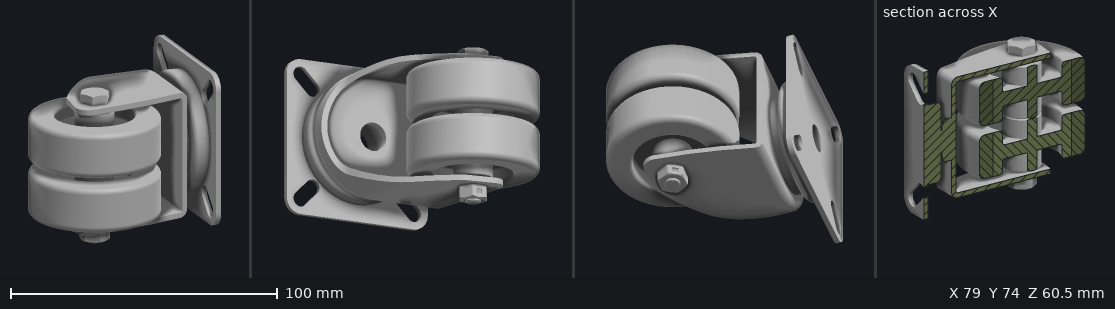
import cadquery as cq
import math


plate_side = 60.0
plate_thickness = 2.05
plate_corner_radius = 6.0
slot_width = 6.0
slot_inner_offset = 19.0
slot_outer_offset = 24.1

upper_step_diameter = 47.0
upper_step_bottom = 8.0
lower_step_diameter = 38.0
step_round = 2.0
swivel_bore_diameter = 11.0

fork_top = 12.5
fork_width = 49.2
sheet_thickness = 2.1
fork_bend_outer_radius = 3.0
fork_bend_inner_radius = fork_bend_outer_radius - sheet_thickness

fork_front_top = (26.6, -fork_top)
fork_front_arc = (31.6, -35.8)
fork_axle_corner = (34.05, -59.25)
fork_lower_corner = (16.5, -57.3)
fork_rear_arc = (-0.5, -44.9)
fork_nose_inner = (-16.9, -22.0)
fork_nose_tip = (-fork_width / 2, -19.4)
fork_corner_radius = 5.0
fork_nose_radius = 7.9

axle_x = 24.0
axle_y = -49.0
wheel_diameter = 50.0
tyre_inner_diameter = 38.15
wheel_width = 17.9
tread_round = 2.5
hub_length = 21.5
hub_diameter = 15.0
hub_chamfer = 0.4
recess_diameter = 30.3
recess_depth = 6.1
recess_rim_round = 1.3
recess_floor_round = 0.95

bolt_diameter = 6.0
bolt_chamfer = 0.4
bolt_overhang = 0.95
across_flats = 10.1
hexagon_half_angle = 30
across_corners = across_flats / math.cos(math.radians(hexagon_half_angle))
head_height = 3.8
nut_height = 5.0
hex_chamfer_diameter = 9.9
hex_chamfer_angle = 30
dent_width = 2.4
dent_height = 1.65
dent_depth = 0.5
dent_count = 3

fork_half_width = fork_width / 2
nut_end_z = -fork_half_width - nut_height
fork_depth = -fork_axle_corner[1] - fork_top


def below_plate(depth):
    """Workplane across the swivel axis at a depth, extruding downwards (-Y)."""
    return cq.Workplane("XZ", origin=(0, -depth, 0))


def on_axle(z):
    """Workplane across the axle at a height z, extruding upwards (+Z)."""
    return cq.Workplane("XY", origin=(axle_x, axle_y, z))


def make_plate():
    plate = below_plate(0).rect(plate_side, plate_side).extrude(plate_thickness)
    plate = plate.edges("|Y").fillet(plate_corner_radius)
    slot_middle = (slot_inner_offset + slot_outer_offset) / 2
    slot_length = math.sqrt(2) * (slot_outer_offset - slot_inner_offset) + slot_width
    for side_x in (-1, 1):
        for side_z in (-1, 1):
            slot = (
                below_plate(0)
                .center(side_x * slot_middle, side_z * slot_middle)
                .slot2D(slot_length, slot_width, 45 * side_x * side_z)
                .extrude(plate_thickness)
            )
            plate = plate.cut(slot)
    return plate


def make_swivel_head():
    upper_step = (
        below_plate(plate_thickness)
        .circle(upper_step_diameter / 2)
        .extrude(upper_step_bottom - plate_thickness)
        .faces("<Y").edges().fillet(step_round)
    )
    lower_step = (
        below_plate(upper_step_bottom)
        .circle(lower_step_diameter / 2)
        .extrude(fork_top - upper_step_bottom)
        .faces(">Y").edges().fillet(step_round)
    )
    return upper_step.union(lower_step)


def u_block(half_width, top, bend_radius):
    """Block with a half-round rear around the swivel axis and its upper edge rounded."""
    block = (
        below_plate(top)
        .moveTo(fork_width, half_width)
        .lineTo(0, half_width)
        .threePointArc((-half_width, 0), (0, -half_width))
        .lineTo(fork_width, -half_width)
        .close()
        .extrude(fork_depth)
    )
    return block.faces(">Y").edges("not >X").fillet(bend_radius)


def make_fork_outline():
    """Side outline of the fork, as a block reaching across its full width."""
    block = (
        cq.Workplane("XY", origin=(0, 0, -fork_half_width))
        .moveTo(*fork_front_top)
        .threePointArc(fork_front_arc, fork_axle_corner)
        .lineTo(*fork_lower_corner)
        .threePointArc(fork_rear_arc, fork_nose_inner)
        .lineTo(*fork_nose_tip)
        .lineTo(-fork_half_width, -fork_top)
        .close()
        .extrude(fork_width)
    )
    rounded_corners = (
        (fork_axle_corner, fork_corner_radius),
        (fork_lower_corner, fork_corner_radius),
        (fork_nose_inner, fork_nose_radius),
    )
    for (x, y), radius in rounded_corners:
        block = block.edges(cq.NearestToPointSelector((x, y, 0))).fillet(radius)
    return block


def make_fork():
    outside = u_block(fork_half_width, fork_top, fork_bend_outer_radius)
    inside = u_block(
        fork_half_width - sheet_thickness, fork_top + sheet_thickness, fork_bend_inner_radius
    )
    return outside.cut(inside).intersect(make_fork_outline())


def make_bracket():
    """Plate, swivel head and fork as one solid, with the swivel bore and the bolt holes."""
    bracket = make_plate().union(make_swivel_head()).union(make_fork())
    swivel_bore = below_plate(0).circle(swivel_bore_diameter / 2).extrude(fork_top + sheet_thickness)
    bolt_holes = on_axle(-fork_half_width).circle(bolt_diameter / 2).extrude(fork_width)
    return bracket.cut(swivel_bore).cut(bolt_holes)


def make_tyre(centre_z):
    """Ring with rounded tread edges, fitting around the wheel core."""
    lower_face = on_axle(centre_z - wheel_width / 2)
    tread = lower_face.circle(wheel_diameter / 2).extrude(wheel_width).edges().fillet(tread_round)
    opening = lower_face.circle(tyre_inner_diameter / 2).extrude(wheel_width)
    return tread.cut(opening)


def make_wheel_core(centre_z):
    """Rim, web and hub of one wheel, with a round recess in both sides."""
    web_thickness = wheel_width - 2 * recess_depth
    rim = (
        on_axle(centre_z - wheel_width / 2)
        .circle(tyre_inner_diameter / 2)
        .circle(recess_diameter / 2)
        .extrude(wheel_width)
    )
    rim = rim.edges(cq.selectors.RadiusNthSelector(0)).fillet(recess_rim_round)
    web = on_axle(centre_z - web_thickness / 2).circle(recess_diameter / 2).extrude(web_thickness)
    core = rim.union(web)
    floor_edges = cq.selectors.BoxSelector(
        (axle_x - recess_diameter, axle_y - recess_diameter, centre_z - web_thickness),
        (axle_x + recess_diameter, axle_y + recess_diameter, centre_z + web_thickness),
    )
    core = core.edges("%CIRCLE").edges(floor_edges).fillet(recess_floor_round)
    hub = on_axle(centre_z - hub_length / 2).circle(hub_diameter / 2).extrude(hub_length)
    hub = hub.edges().chamfer(hub_chamfer)
    bore = on_axle(centre_z - hub_length / 2).circle(bolt_diameter / 2).extrude(hub_length)
    return core.union(hub).cut(bore)


def chamfer_cone(end_z, direction):
    """Cone that trims hexagon corners at end_z; direction is +1 for an upper end, -1 for a lower one."""
    top_radius = hex_chamfer_diameter / 2
    height = across_corners
    base_radius = top_radius + height / math.tan(math.radians(hex_chamfer_angle))
    return (
        cq.Workplane("XZ", origin=(axle_x, axle_y, end_z))
        .moveTo(0, 0)
        .lineTo(top_radius, 0)
        .lineTo(base_radius, -direction * height)
        .lineTo(0, -direction * height)
        .close()
        .revolve(360, (0, 0), (0, 1))
    )


def hexagon(start_z, height, turn):
    """Hexagonal prism on the axle; two of its corners lie along X when turn is 0."""
    prism = on_axle(start_z).polygon(6, across_corners).extrude(height)
    return prism.rotate((axle_x, axle_y, 0), (axle_x, axle_y, 1), turn)


def make_bolt():
    """Hexagon bolt with two corners along Y; its shank runs down through the nut."""
    head_top = fork_half_width + head_height
    head = hexagon(fork_half_width, head_height, hexagon_half_angle).intersect(chamfer_cone(head_top, 1))
    bolt_end = nut_end_z - bolt_overhang
    shank = on_axle(bolt_end).circle(bolt_diameter / 2).extrude(fork_half_width - bolt_end)
    shank = shank.faces("<Z").edges().chamfer(bolt_chamfer)
    return head.union(shank)


def make_nut():
    """Hexagon nut chamfered at both ends, with shallow dents in every other flat."""
    nut = hexagon(nut_end_z, nut_height, 0)
    nut = nut.intersect(chamfer_cone(nut_end_z, -1)).intersect(chamfer_cone(-fork_half_width, 1))
    nut = nut.cut(on_axle(nut_end_z).circle(bolt_diameter / 2).extrude(nut_height))
    dent = cq.Workplane("XY").box(dent_width, 2 * dent_depth, dent_height).translate(
        (axle_x, axle_y - across_flats / 2, nut_end_z + nut_height / 2)
    )
    for index in range(dent_count):
        turn = index * 360 / dent_count
        nut = nut.cut(dent.rotate((axle_x, axle_y, 0), (axle_x, axle_y, 1), turn))
    return nut


bracket = make_bracket()
bolt = make_bolt()
nut = make_nut()

tyres = []
wheel_cores = []
for side in (-1, 1):
    wheel_z = side * hub_length / 2
    tyres.append(make_tyre(wheel_z).val())
    wheel_cores.append(make_wheel_core(wheel_z).val())

result = cq.Compound.makeCompound([bracket.val(), *tyres, *wheel_cores, bolt.val(), nut.val()])